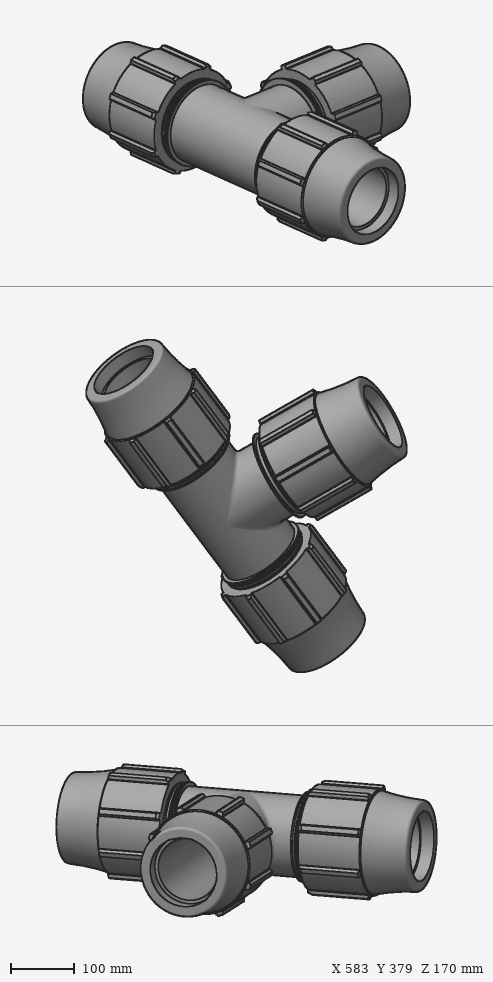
import cadquery as cq
import math

arm_reach = 291.5
branch_reach = 294.0

tube_diameter = 129.0
tube_length = 99.0
crease_radius = 6.5
bore_diameter = 99.0
socket_diameter = 110.0
socket_depth = 21.5

nut_length = 176.0
nose_length = 73.0
nose_tip_radius = 72.5
nose_middle_radius = 75.0
nose_base_radius = 81.5
lip_radius = 4.5
grip_radius = 84.0
grip_edge_length = 2.0

rib_count = 8
rib_pitch = 360 / rib_count
rib_half_spread = 85.0
rib_tip_half_width = 4.0
rib_base_half_width = 6.5
rib_shoulder_radius = 85.0
rib_root_radius = 78.5
rib_lead_length = 2.0
arm_rib_tail_length = 5.0
arm_rib_tail_drop = 2.5

half_pitch = math.radians(rib_pitch / 2)
rib_tip_radius = (rib_half_spread - rib_tip_half_width * math.sin(half_pitch)) / math.cos(half_pitch)

neck_diameter = 136.0
arm_ring_diameter = 139.5
arm_ring_start = 107.0
arm_ring_length = 4.5
arm_flange_diameter = 142.0
arm_flange_start = 98.5
arm_flange_length = 6.0
arm_flange_slope_length = 3.0
arm_flange_slope_drop = 1.0
branch_ring_diameter = 142.0
branch_ring_start = 108.5
branch_ring_length = 2.0
branch_flange_diameter = 149.0
branch_flange_start = 99.0
branch_flange_length = 2.5


def disc(diameter, start, length):
    return cq.Workplane("XY", origin=(0, 0, start)).circle(diameter / 2).extrude(length)


def along_x(shape, sign):
    """Turn a shape built along +Z to point along +X or -X."""
    return shape.rotate((0, 0, 0), (0, 1, 0), sign * 90)


def along_y(shape):
    """Turn a shape built along +Z to point along +Y."""
    return shape.rotate((0, 0, 0), (1, 0, 0), -90)


def nut_body(reach):
    """Nose and grip of a nut, turned about Z, with its open end at Z = reach."""
    nose_base = reach - nose_length
    nose_middle = reach - (nose_length + lip_radius) / 2
    lip_inset = lip_radius * (1 - math.sqrt(0.5))
    return (
        cq.Workplane("XZ")
        .moveTo(0, reach)
        .lineTo(nose_tip_radius - lip_radius, reach)
        .threePointArc(
            (nose_tip_radius - lip_inset, reach - lip_inset),
            (nose_tip_radius, reach - lip_radius),
        )
        .threePointArc((nose_middle_radius, nose_middle), (nose_base_radius, nose_base))
        .lineTo(grip_radius, nose_base - grip_edge_length)
        .lineTo(grip_radius, reach - nut_length)
        .lineTo(0, reach - nut_length)
        .close()
        .revolve(360, (0, 0), (0, 1))
    )


def grip_rib(reach, sloped_tail):
    """One rib on the +X side, sloped at its nose end and, if asked, at its tail."""
    front = reach - nose_length - grip_edge_length
    back = reach - nut_length
    cross_section = (
        cq.Workplane("XY", origin=(0, 0, back))
        .polyline([
            (rib_root_radius, -rib_base_half_width),
            (rib_shoulder_radius, -rib_base_half_width),
            (rib_tip_radius, -rib_tip_half_width),
            (rib_tip_radius, rib_tip_half_width),
            (rib_shoulder_radius, rib_base_half_width),
            (rib_root_radius, rib_base_half_width),
        ])
        .close()
        .extrude(front - back)
    )
    tail = [(rib_tip_radius, back)]
    if sloped_tail:
        tail = [
            (rib_tip_radius - arm_rib_tail_drop, back),
            (rib_tip_radius, back + arm_rib_tail_length),
        ]
    side_profile = (
        cq.Workplane("XZ")
        .polyline([
            (rib_root_radius, back),
            *tail,
            (rib_tip_radius, front - rib_lead_length),
            (grip_radius, front),
            (rib_root_radius, front),
        ])
        .close()
        .extrude(rib_base_half_width, both=True)
    )
    return cross_section.intersect(side_profile)


def ribbed_nut(reach, sloped_tail):
    nut = nut_body(reach)
    rib = grip_rib(reach, sloped_tail)
    for index in range(rib_count):
        nut = nut.union(rib.rotate((0, 0, 0), (0, 0, 1), (index + 0.5) * rib_pitch))
    return nut


def neck(reach, start):
    return disc(neck_diameter, start, reach - nut_length - start)


def arm_outlet():
    """Solid outlet of the run, along +Z; its flange slopes on the nut side."""
    flange = (
        disc(arm_flange_diameter, arm_flange_start, arm_flange_length)
        .faces(">Z")
        .chamfer(arm_flange_slope_length, arm_flange_slope_drop)
    )
    ring = disc(arm_ring_diameter, arm_ring_start, arm_ring_length)
    nut = ribbed_nut(arm_reach, sloped_tail=True)
    return neck(arm_reach, arm_flange_start).union(flange).union(ring).union(nut)


def branch_outlet():
    """Solid outlet of the branch, along +Z; its flange and ring are thin and plain."""
    flange = disc(branch_flange_diameter, branch_flange_start, branch_flange_length)
    ring = disc(branch_ring_diameter, branch_ring_start, branch_ring_length)
    nut = ribbed_nut(branch_reach, sloped_tail=False)
    return neck(branch_reach, branch_flange_start).union(flange).union(ring).union(nut)


def tee_tubes():
    """Solid crossing tubes, with the crease between run and branch filleted."""
    run = along_x(disc(tube_diameter, -tube_length, 2 * tube_length), 1)
    tubes = run.union(along_y(disc(tube_diameter, 0, tube_length)))
    return tubes.edges("%ELLIPSE").fillet(crease_radius)


def outlet_bore(reach):
    """Bore from the crossing point outwards, widened into a pipe socket at the end."""
    socket = disc(socket_diameter, reach - socket_depth, socket_depth)
    return disc(bore_diameter, 0, reach).union(socket)


arm = arm_outlet()
arm_bore = outlet_bore(arm_reach)

result = tee_tubes().union(along_y(branch_outlet()))
for side in (-1, 1):
    result = result.union(along_x(arm, side))
for side in (-1, 1):
    result = result.cut(along_x(arm_bore, side))
result = result.cut(along_y(outlet_bore(branch_reach)))